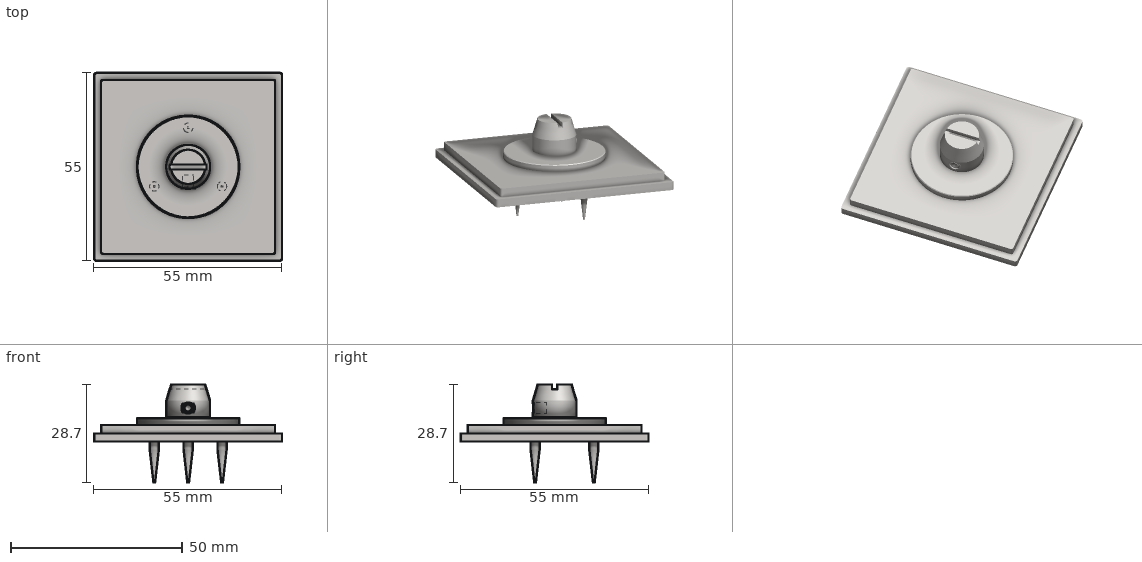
import cadquery as cq
import math

base_side = 55.0
base_corner_radius = 0.8
base_bottom = 11.9
base_top = 14.3

plate_side = 50.9
plate_corner_radius = 0.55
plate_top = 16.85

disc_diameter = 30.0
disc_top = 18.85
disc_chamfer = 0.2

knob_radius = 6.45
knob_bottom = 19.1
taper_bottom = 23.8
knob_top = 28.65
knob_top_radius = 5.0
slot_width = 1.5
slot_depth = 1.4

pad_radius = 2.0
pad_face_distance = 6.25

screw_height = 21.7
screw_radius = 1.6
screw_face_distance = pad_face_distance
screw_length = 3.85
screw_chamfer = 0.4
socket_radius = 1.05
socket_depth = 0.6

pin_count = 3
pin_circle_radius = 11.45
pin_first_angle = 90.0
pin_radius = 1.4
pin_tip_radius = 0.3
pin_shank_length = 2.3


def square_plate(side, corner_radius, bottom, top):
    """Square plate with rounded vertical edges, centred on the Z axis."""
    plate = cq.Workplane("XY").workplane(offset=bottom).rect(side, side).extrude(top - bottom)
    return plate.edges("|Z").fillet(corner_radius)


def make_disc():
    """Round disc with a small chamfer on its upper rim."""
    thickness = disc_top - plate_top
    disc = cq.Workplane("XY").workplane(offset=plate_top).circle(disc_diameter / 2).extrude(thickness)
    return disc.faces(">Z").edges().chamfer(disc_chamfer)


def rod_along_y(radius, near, far):
    """Cylinder at the screw's height, running from Y = -near out to Y = -far."""
    axis_plane = cq.Workplane("XZ", origin=(0, 0, screw_height))
    return axis_plane.workplane(offset=near).circle(radius).extrude(far - near)


def make_knob():
    """Knob with a driver slot along X, and a pad and a blind hole for the set screw."""
    body = (
        cq.Workplane("XZ")
        .moveTo(0, knob_bottom)
        .lineTo(knob_radius, knob_bottom)
        .lineTo(knob_radius, taper_bottom)
        .lineTo(knob_top_radius, knob_top)
        .lineTo(0, knob_top)
        .close()
        .revolve(360, (0, 0), (0, 1))
    )
    slot = (
        cq.Workplane("XY")
        .workplane(offset=knob_top - slot_depth)
        .rect(2 * knob_radius, slot_width)
        .extrude(slot_depth)
    )
    screw_end = screw_face_distance - screw_length
    pad = rod_along_y(pad_radius, screw_end, pad_face_distance)
    screw_hole = rod_along_y(screw_radius, screw_end, knob_radius)
    return body.cut(slot).union(pad).cut(screw_hole)


def make_screw():
    """Set screw with a chamfered outer end and a conical socket in it."""
    face = -screw_face_distance
    inner_end = face + screw_length
    return (
        cq.Workplane("XY", origin=(0, 0, screw_height))
        .moveTo(0, inner_end)
        .lineTo(screw_radius, inner_end)
        .lineTo(screw_radius, face + screw_chamfer)
        .lineTo(screw_radius - screw_chamfer, face)
        .lineTo(socket_radius, face)
        .lineTo(0, face + socket_depth)
        .close()
        .revolve(360, (0, 0), (0, 1))
    )


def make_pin(x, y):
    """Pin with a cylindrical shank and a long taper to a blunt tip at Z = 0."""
    return (
        cq.Workplane("XZ")
        .lineTo(pin_tip_radius, 0)
        .lineTo(pin_radius, base_bottom - pin_shank_length)
        .lineTo(pin_radius, base_bottom)
        .lineTo(0, base_bottom)
        .close()
        .revolve(360, (0, 0), (0, 1))
        .translate((x, y, 0))
    )


base_plate = square_plate(base_side, base_corner_radius, base_bottom, base_top)
upper_plate = square_plate(plate_side, plate_corner_radius, base_top, plate_top)
disc = make_disc()
knob = make_knob()
screw = make_screw()

pins = []
for index in range(pin_count):
    angle = math.radians(pin_first_angle + index * 360 / pin_count)
    pins.append(make_pin(pin_circle_radius * math.cos(angle), pin_circle_radius * math.sin(angle)))

result = cq.Compound.makeCompound(
    [
        base_plate.val(),
        upper_plate.val(),
        disc.val(),
        knob.val(),
        screw.val(),
        *[pin.val() for pin in pins],
    ]
)